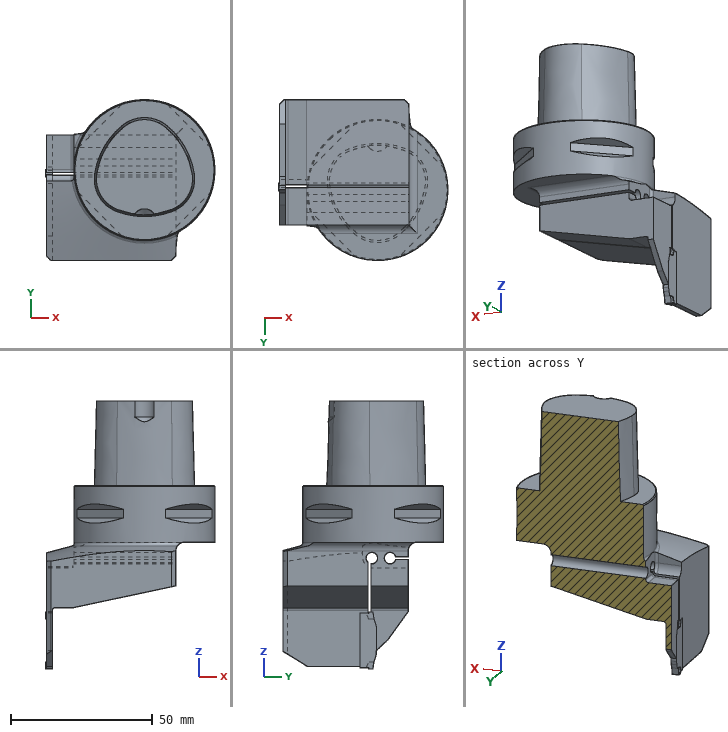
import cadquery as cq
import math


SHANK_LENGTH = 30.0
LOBE_COUNT = 3
LOBE_RADIUS = 12.35
LOBE_OFFSET = 6.3
LOBE_HALF_ANGLE = 39.0
SHANK_TAPER = 0.8
NOTCH_RADIUS = 4.0
NOTCH_AXIS_Y = -17.7
NOTCH_DEPTH = 5.7
NOTCH_CONE_DEPTH = 3.0
FLANGE_RADIUS = 25.0
FLANGE_HEIGHT = 20.0
FLANGE_CHAMFER = 0.4

GROOVE_DEPTH = 2.85
GROOVE_FLOOR_WIDTH = 3.0
GROOVE_MOUTH_WIDTH = 6.7
GROOVE_Z = -9.9
GROOVE_COUNT = 4

TIP_X = -35.1
SIDE_CLEARANCE = 0.33
FACE_X = TIP_X + SIDE_CLEARANCE
BACK_X = 11.1
FRONT_Y = -32.0
REAR_Y = 12.4
CORNER_CHAMFER = 1.6
FLARE_RADIUS = 3.0
ROOF_ANGLE = 15.0
ROOF_TOP_Z = -21.1
NECK_FILLET = 1.2

BLADE_WIDTH = 2.2
BLADE_INNER_X = FACE_X + BLADE_WIDTH
BLADE_END_Z = -64.0
BLADE_ROOT_FILLET = 0.95
UNDERSIDE_Z = -43.2
UNDERSIDE_SLOPE_X = -25.2
UNDERSIDE_ANGLE = 12.0
FRONT_BEVEL_Z = -58.6
FRONT_BEVEL_Y = -23.3
JAW_SIDE_Z = -44.6
JAW_BEND_Y = 5.3
JAW_BEND_Z = -54.4

SLIT_WIDTH = 0.95
RELIEF_DIAMETER = 4.0
RELIEF_Z = -25.65
SIDE_RELIEF_Y = 6.0
JAW_RELIEF_Y = -0.5
JAW_SLIT_Y = -1.3
RECESS_FRONT_Y = -3.8
RECESS_FLOOR_Z = -29.2
RECESS_CORNER_RADIUS = 4.0
RECESS_BACK_FILLET = 1.0

INSERT_MID_Z = -54.8
INSERT_BASE_Y = -4.75
INSERT_CREST_Y = 1.1
INSERT_HALF_LENGTH = 10.2
INSERT_BODY_HALF_LENGTH = 9.7
CREST_HALF_LENGTH = 4.7
SHOULDER_Y = 0.9
SHOULDER_HALF_LENGTH = 6.0
RAKE_START_Y = 0.3
RAKE_START_HALF_LENGTH = 7.6
EDGE_Y = -0.1
EDGE_HEEL_Y = -1.6
PAD_FOOT_Y = -2.5

BIG = 190.0


def shank_section(inset, z):
    """Three-lobed outline of tangent arcs, its first lobe pointing to +Y."""
    half_pitch = 180 / LOBE_COUNT
    flank_half_angle = half_pitch - LOBE_HALF_ANGLE
    joint_sine = math.sin(math.radians(LOBE_HALF_ANGLE))
    flank_sine = math.sin(math.radians(flank_half_angle))
    pitch_sine = math.sin(math.radians(half_pitch))
    flank_offset = LOBE_OFFSET * joint_sine / flank_sine
    lobe_radius = LOBE_RADIUS - inset
    flank_radius = lobe_radius + LOBE_OFFSET * pitch_sine / flank_sine

    def polar(radius, angle):
        turn = math.radians(angle)
        return cq.Vector(radius * math.cos(turn), radius * math.sin(turn))

    def lobe_point(lobe, turn):
        return polar(LOBE_OFFSET, lobe) + polar(lobe_radius, lobe + turn)

    section = None
    for index in range(LOBE_COUNT):
        lobe = 90 + 2 * half_pitch * index
        start = lobe_point(lobe, -LOBE_HALF_ANGLE)
        if section is None:
            section = cq.Workplane("XY", origin=(0, 0, z)).moveTo(start.x, start.y)
        middle = lobe_point(lobe, 0)
        end = lobe_point(lobe, LOBE_HALF_ANGLE)
        flank = polar(flank_radius - flank_offset, lobe + half_pitch)
        next_start = lobe_point(lobe + 2 * half_pitch, -LOBE_HALF_ANGLE)
        section = section.threePointArc((middle.x, middle.y), (end.x, end.y))
        section = section.threePointArc((flank.x, flank.y), (next_start.x, next_start.y))
    return section.close().wire().val()


def make_shank():
    """Tapered polygon shank with a drilled notch at its free end."""
    sections = [shank_section(0, 0), shank_section(SHANK_TAPER, SHANK_LENGTH)]
    shank = cq.Workplane(cq.Solid.makeLoft(sections, True))
    notch_floor = SHANK_LENGTH - NOTCH_DEPTH
    notch = (
        cq.Workplane("XZ")
        .moveTo(0, SHANK_LENGTH)
        .lineTo(NOTCH_RADIUS, SHANK_LENGTH)
        .lineTo(NOTCH_RADIUS, notch_floor)
        .lineTo(0, notch_floor - NOTCH_CONE_DEPTH)
        .close()
        .revolve(360, (0, 0, 0), (0, 1, 0))
        .translate((0, NOTCH_AXIS_Y, 0))
    )
    return shank.cut(notch)


def make_flange():
    """Round flange with trapezoidal gripper grooves."""
    flange = cq.Workplane("XY").circle(FLANGE_RADIUS).extrude(-FLANGE_HEIGHT)
    flange = flange.faces(">Z").edges().chamfer(FLANGE_CHAMFER)
    floor_x = FLANGE_RADIUS - GROOVE_DEPTH
    half_floor = GROOVE_FLOOR_WIDTH / 2
    half_mouth = GROOVE_MOUTH_WIDTH / 2
    groove = (
        cq.Workplane("XZ")
        .polyline([
            (floor_x, GROOVE_Z - half_floor),
            (FLANGE_RADIUS, GROOVE_Z - half_mouth),
            (FLANGE_RADIUS, GROOVE_Z + half_mouth),
            (floor_x, GROOVE_Z + half_floor),
        ])
        .close()
        .extrude(FLANGE_RADIUS, both=True)
    )
    pitch = 360 / GROOVE_COUNT
    for index in range(GROOVE_COUNT):
        flange = flange.cut(groove.rotate((0, 0, 0), (0, 0, 1), (index + 0.5) * pitch))
    return flange


def make_roof():
    """Round solid that bounds the head from above: neck, fillet and cone.

    Its top lies inside the flange, so only the fillet and cone show.
    """
    fall = (BIG - FLANGE_RADIUS) * math.tan(math.radians(ROOF_ANGLE))
    roof = (
        cq.Workplane("XZ")
        .polyline([
            (0, -FLANGE_HEIGHT / 2),
            (FLANGE_RADIUS, -FLANGE_HEIGHT / 2),
            (FLANGE_RADIUS, ROOF_TOP_Z),
            (BIG, ROOF_TOP_Z - fall),
            (0, ROOF_TOP_Z - fall),
        ])
        .close()
        .revolve(360, (0, 0, 0), (0, 1, 0))
    )
    neck_level = cq.selectors.BoxSelector(
        (-BIG, -BIG, ROOF_TOP_Z - NECK_FILLET), (BIG, BIG, ROOF_TOP_Z + NECK_FILLET)
    )
    return roof.edges(neck_level).fillet(NECK_FILLET)


def make_block():
    """Head block whose back and rear walls flare out under the flange.

    A plate at flange level gives the walls a corner to fillet; the roof trims it.
    """
    block = (
        cq.Workplane("XY", origin=(0, 0, BLADE_END_Z))
        .moveTo(FACE_X, FRONT_Y)
        .lineTo(BACK_X, FRONT_Y)
        .lineTo(BACK_X, REAR_Y)
        .lineTo(FACE_X, REAR_Y)
        .close()
        .extrude(-FLANGE_HEIGHT - BLADE_END_Z)
    )
    plate = (
        cq.Workplane("XY", origin=(FACE_X, FRONT_Y, -FLANGE_HEIGHT))
        .rect(BIG, BIG, centered=False)
        .extrude(FLARE_RADIUS)
    )
    back_edge = cq.selectors.NearestToPointSelector((BACK_X, 0, -FLANGE_HEIGHT))
    rear_edge = cq.selectors.NearestToPointSelector((0, REAR_Y, -FLANGE_HEIGHT))
    block = block.union(plate)
    walls = block.edges(back_edge).add(block.edges(rear_edge))
    block = walls.fillet(FLARE_RADIUS).intersect(make_roof())
    bevelled_front = (
        cq.Workplane("XY", origin=(0, 0, -BIG))
        .moveTo(FACE_X, FRONT_Y + CORNER_CHAMFER)
        .lineTo(FACE_X + CORNER_CHAMFER, FRONT_Y)
        .lineTo(BACK_X - CORNER_CHAMFER, FRONT_Y)
        .line(BIG, BIG)
        .lineTo(FACE_X, FRONT_Y + BIG)
        .close()
        .extrude(BIG)
    )
    return block.intersect(bevelled_front)


def underside_cutter():
    """Everything below the block and behind the thin blade."""
    run = BACK_X + FLANGE_RADIUS - UNDERSIDE_SLOPE_X
    rise = run * math.tan(math.radians(UNDERSIDE_ANGLE))
    cutter = (
        cq.Workplane("XZ")
        .polyline([
            (BLADE_INNER_X, UNDERSIDE_Z),
            (UNDERSIDE_SLOPE_X, UNDERSIDE_Z),
            (UNDERSIDE_SLOPE_X + run, UNDERSIDE_Z + rise),
            (UNDERSIDE_SLOPE_X + run, -BIG),
            (BLADE_INNER_X, -BIG),
        ])
        .close()
        .extrude(BIG, both=True)
    )
    root = cq.selectors.NearestToPointSelector((BLADE_INNER_X, 0, UNDERSIDE_Z))
    return cutter.edges(root).fillet(BLADE_ROOT_FILLET)


def blade_outline():
    """YZ outline of the block, blade and jaw, as a trimming solid."""
    return (
        cq.Workplane("YZ")
        .polyline([
            (FRONT_Y, 0),
            (FRONT_Y, FRONT_BEVEL_Z),
            (FRONT_BEVEL_Y, BLADE_END_Z),
            (INSERT_BASE_Y, BLADE_END_Z),
            (JAW_BEND_Y, JAW_BEND_Z),
            (REAR_Y, JAW_SIDE_Z),
            (REAR_Y + FLANGE_RADIUS, JAW_SIDE_Z),
            (REAR_Y + FLANGE_RADIUS, 0),
        ])
        .close()
        .extrude(BIG, both=True)
    )


def jaw_recess():
    """Step beside the flange that leaves the clamping jaw low."""
    recess = (
        cq.Workplane("XY", origin=(-FLANGE_RADIUS, RECESS_FRONT_Y, RECESS_FLOOR_Z))
        .rect(-BIG, BIG, centered=False)
        .extrude(-RECESS_FLOOR_Z)
    )
    recess = recess.edges("|X and <Y and <Z").fillet(RECESS_CORNER_RADIUS)
    back_edges = recess.faces(">X").edges("not(>Y or >Z)")
    return back_edges.fillet(RECESS_BACK_FILLET)


def clamping_slits():
    """Relief holes and the two slits that let the jaw flex."""
    reliefs = (
        cq.Workplane("YZ")
        .pushPoints([(SIDE_RELIEF_Y, RELIEF_Z), (JAW_RELIEF_Y, RELIEF_Z)])
        .circle(RELIEF_DIAMETER / 2)
        .extrude(BIG, both=True)
    )
    side_slit = cq.Workplane("XY").box(BIG, BIG, SLIT_WIDTH, centered=(True, False, True))
    side_slit = side_slit.translate((0, SIDE_RELIEF_Y, RELIEF_Z))
    jaw_slit_length = RELIEF_Z - INSERT_MID_Z
    jaw_slit = cq.Workplane("XY").box(BIG, SLIT_WIDTH, jaw_slit_length, centered=(True, True, False))
    jaw_slit = jaw_slit.translate((0, JAW_SLIT_Y, INSERT_MID_Z))
    return reliefs.union(side_slit).union(jaw_slit)


def insert_blank():
    """Insert as wide as the blade, symmetrical about its middle."""
    upper_half = [
        (INSERT_CREST_Y, CREST_HALF_LENGTH),
        (SHOULDER_Y, SHOULDER_HALF_LENGTH),
        (RAKE_START_Y, RAKE_START_HALF_LENGTH),
        (EDGE_Y, INSERT_HALF_LENGTH),
        (EDGE_HEEL_Y, INSERT_HALF_LENGTH),
        (EDGE_HEEL_Y, INSERT_BODY_HALF_LENGTH),
        (INSERT_BASE_Y, INSERT_BODY_HALF_LENGTH),
    ]
    lower_half = [(y, -z) for y, z in reversed(upper_half)]
    return (
        cq.Workplane("YZ", origin=(FACE_X, 0, INSERT_MID_Z))
        .polyline(upper_half + lower_half)
        .close()
        .extrude(BLADE_WIDTH)
    )


def make_insert():
    """Cutting insert with a raised side pad at each cutting end."""
    insert = insert_blank()
    for end in (1, -1):
        pad = (
            cq.Workplane("YZ", origin=(FACE_X, 0, INSERT_MID_Z))
            .polyline([
                (RAKE_START_Y, end * RAKE_START_HALF_LENGTH),
                (EDGE_Y, end * INSERT_HALF_LENGTH),
                (EDGE_HEEL_Y, end * INSERT_HALF_LENGTH),
                (EDGE_HEEL_Y, end * INSERT_BODY_HALF_LENGTH),
                (PAD_FOOT_Y, end * INSERT_BODY_HALF_LENGTH),
                (EDGE_HEEL_Y, end * RAKE_START_HALF_LENGTH),
            ])
            .close()
            .extrude(-SIDE_CLEARANCE)
        )
        insert = insert.union(pad)
    return insert


def make_holder():
    """Shank, flange and slotted head as one body, with the insert seat cut."""
    head = make_block().cut(underside_cutter()).intersect(blade_outline())
    head = head.cut(jaw_recess()).cut(clamping_slits()).cut(insert_blank())
    return make_shank().union(make_flange()).union(head)


holder = make_holder()
insert = make_insert()

result = cq.Compound.makeCompound([holder.val(), insert.val()])